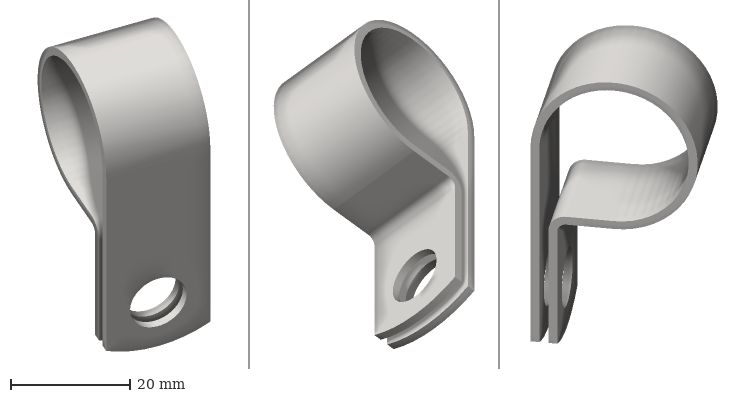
import cadquery as cq
import math

inner_diameter = 25.4
thickness = 1.524
strap_width = 19.05
overall_height = 53.9

inner_radius = inner_diameter / 2
outer_radius = inner_radius + thickness

leg_gap = 1.524
bend_inner_radius = 1.524
bend_outer_radius = bend_inner_radius + thickness
short_leg_right = inner_radius - leg_gap
short_leg_left = short_leg_right - thickness
bend_start_x = short_leg_right - bend_outer_radius
bend_center_z = -inner_radius - bend_outer_radius
leg_bottom_z = outer_radius - overall_height

hole_diameter = 10.32
hole_height = 9.525
end_rise = 2.13

half_width = strap_width / 2
diagonal = math.sqrt(0.5)


def bend_midpoint(radius):
    """Point halfway round the quarter bend at the given radius."""
    return (bend_start_x + radius * diagonal, bend_center_z + radius * diagonal)


def loop_midpoint(radius):
    """Point halfway round the three-quarter loop, at its upper left."""
    return (-radius * diagonal, radius * diagonal)


def make_strap():
    """Constant-thickness strap: long leg, loop, flat, bend and short leg."""
    return (
        cq.Workplane("XZ")
        .moveTo(outer_radius, leg_bottom_z)
        .lineTo(outer_radius, 0)
        .threePointArc(loop_midpoint(outer_radius), (0, -outer_radius))
        .lineTo(bend_start_x, -outer_radius)
        .threePointArc(bend_midpoint(bend_inner_radius), (short_leg_left, bend_center_z))
        .lineTo(short_leg_left, leg_bottom_z)
        .lineTo(short_leg_right, leg_bottom_z)
        .lineTo(short_leg_right, bend_center_z)
        .threePointArc(bend_midpoint(bend_outer_radius), (bend_start_x, -inner_radius))
        .lineTo(0, -inner_radius)
        .threePointArc(loop_midpoint(inner_radius), (inner_radius, 0))
        .lineTo(inner_radius, leg_bottom_z)
        .close()
        .extrude(half_width, both=True)
    )


def make_end_envelope():
    """Block with a convex bottom that rounds off both leg ends."""
    corner_z = leg_bottom_z + end_rise
    return (
        cq.Workplane("YZ")
        .moveTo(-half_width, outer_radius)
        .lineTo(-half_width, corner_z)
        .threePointArc((0, leg_bottom_z), (half_width, corner_z))
        .lineTo(half_width, outer_radius)
        .close()
        .extrude(outer_radius, both=True)
    )


def make_bolt_hole():
    """Cylinder along X that pierces both legs."""
    return (
        cq.Workplane("YZ")
        .center(0, leg_bottom_z + hole_height)
        .circle(hole_diameter / 2)
        .extrude(outer_radius)
    )


result = make_strap().intersect(make_end_envelope()).cut(make_bolt_hole())